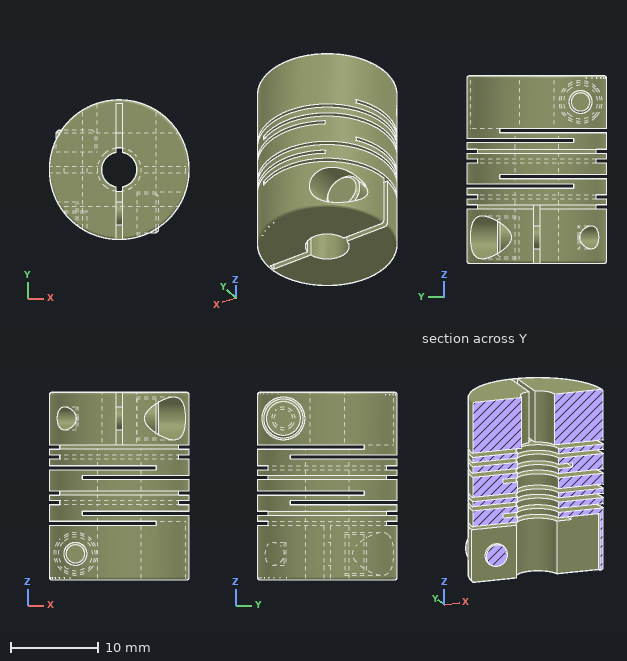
import cadquery as cq

length = 21.5
radius = 8.0
rim_fillet = 0.32
small_bore_radius = 2.0
large_bore_radius = 2.5

slit_width = 0.45
slit_chord = 4.21
slits = [
    (6.3, "-Y"),
    (7.42, "+Y"),
    (8.66, "-X"),
    (9.76, "+X"),
    (11.55, "-Y"),
    (12.65, "+Y"),
    (13.87, "+X"),
    (15.0, "-X"),
]

slot_width = 0.73
slot_end = 7.57
first_slit_depth = slits[0][0]
last_slit_depth = slits[-1][0]
upper_slot_depth = first_slit_depth - slit_width / 2
lower_slot_depth = length - last_slit_depth + slit_width / 2

screw_offset = 5.0
screw_inset = 3.0
screw_radius = 1.31
tip_position = -4.97
tip_chamfer = 0.25
head_radius = 2.24
head_outer = 4.52
head_seat = 2.02
head_chamfer = 0.3
counterbore_radius = 2.45

opening_angle = {"+X": 0, "+Y": 90, "-X": 180, "-Y": 270}


def cylinder_along_x(cylinder_radius, start, end):
    return cq.Workplane("YZ", origin=(start, 0, 0)).circle(cylinder_radius).extrude(end - start)


def make_body():
    """Cylinder with rounded rims, a small bore in the upper hub and a larger bore below it."""
    body = cq.Workplane("XY").circle(radius).extrude(length).edges().fillet(rim_fillet)
    small_bore = cq.Workplane("XY").circle(small_bore_radius).extrude(length)
    large_bore = cq.Workplane("XY").circle(large_bore_radius).extrude(length - first_slit_depth)
    return body.cut(small_bore).cut(large_bore)


def make_slit(depth, side):
    """Flat cutter running from the chord out past the opening side."""
    reach = 2 * radius
    cutter = cq.Workplane("XY").box(reach + slit_chord, 2 * reach, slit_width, centered=(False, True, True))
    cutter = cutter.translate((-slit_chord, 0, length - depth))
    return cutter.rotate((0, 0, 0), (0, 0, 1), opening_angle[side])


def make_clamp_slot(depth):
    """Upper hub slot in the top face, open towards -Y."""
    slot = cq.Workplane("XY").box(slot_width, radius + slot_end, depth, centered=(True, False, False))
    return slot.translate((0, -radius, length - depth))


def make_screw_hole():
    """Upper hub hole along X with a counterbore on the +X side."""
    hole = cylinder_along_x(screw_radius, -radius, radius)
    counterbore = cylinder_along_x(counterbore_radius, head_seat, radius)
    return hole.union(counterbore).translate((0, -screw_offset, length - screw_inset))


def make_clamp_screw():
    """Upper hub screw along X with its head towards +X."""
    shank = cylinder_along_x(screw_radius, tip_position, head_seat).faces("<X").chamfer(tip_chamfer)
    head = cylinder_along_x(head_radius, head_seat, head_outer).faces(">X").chamfer(head_chamfer)
    return shank.union(head).translate((0, -screw_offset, length - screw_inset))


def to_lower_hub(shape):
    """Half turn about the X = Y line at mid height: swaps X with Y and top with bottom."""
    middle = length / 2
    return shape.rotate((0, 0, middle), (0.22, 0.22, middle), 180)


result = make_body()
for slit_depth, slit_side in slits:
    result = result.cut(make_slit(slit_depth, slit_side))

result = result.cut(make_clamp_slot(upper_slot_depth))
result = result.cut(to_lower_hub(make_clamp_slot(lower_slot_depth)))

result = result.cut(make_screw_hole())
result = result.cut(to_lower_hub(make_screw_hole()))
result = result.union(make_clamp_screw())
result = result.union(to_lower_hub(make_clamp_screw()))